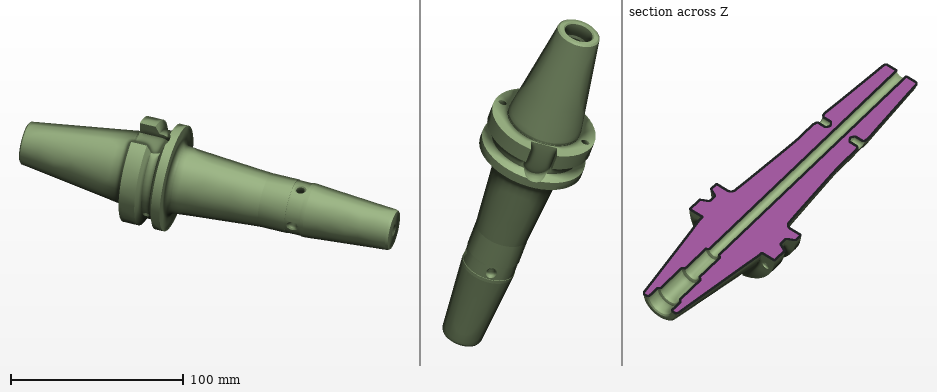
import cadquery as cq
import math

LENGTH = 225.5

GAUGE_X = 65.4
GAUGE_DIA = 44.5
TAPER_RATE = 7 / 24
TAPER_END_DIA = GAUGE_DIA - GAUGE_X * TAPER_RATE
TAPER_CHAMFER = 1.0
RELIEF_DIA = 44.2
RELIEF_START_X = 66.0
RELIEF_WIDTH = 0.7

FLANGE_DIA = 63.0
FLANGE_START_X = 67.5
FLANGE_END_X = 92.5
GROOVE_X = 82.0
GROOVE_DIA = 53.0
GROOVE_FLOOR_WIDTH = 5.0
GROOVE_MOUTH_WIDTH = 10.1

SLOT_WIDTH = 16.0
SLOT_FLOOR_HEIGHT = 22.5
SLOT_END_X = 88.4

COOLANT_DIA = 4.3
COOLANT_ANGLE = 20.0
COOLANT_FACE_RADIUS = 26.8
COOLANT_TILT = 30.0

BODY_DIA = 32.0
BODY_TAPER_ANGLE = 4.5
BODY_START_X = 147.5
BAND_START_X = 163.6
BAND_END_X = 172.9
BAND_DIA = 31.3
NOSE_START_X = 175.0
NOSE_CHAMFER = 1.4
NOSE_CHAMFER_DEPTH = 0.7
ROOT_FILLET = 3.4

SCREW_HOLE_COUNT = 4
SCREW_HOLE_DIA = 5.0
SCREW_SINK_DIA = 7.0
SCREW_HOLE_DEPTH = 6.8
DRILL_POINT_ANGLE = 59.0

PILOT_DIA = 17.0
PILOT_MOUTH_DIA = 18.5
PILOT_DEPTH = 8.8
THREAD_DIA = 14.0
THREAD_DEPTH = 29.3
STEP_DIA = 10.4
STEP_DEPTH = 49.5
BORE_DIA = 7.0


def slope(angle):
    return math.tan(math.radians(angle))


def turned_body():
    gauge_radius = GAUGE_DIA / 2
    relief_end_x = RELIEF_START_X + RELIEF_WIDTH
    relief_radius = RELIEF_DIA / 2
    flange_radius = FLANGE_DIA / 2
    groove_radius = GROOVE_DIA / 2
    floor_half = GROOVE_FLOOR_WIDTH / 2
    mouth_half = GROOVE_MOUTH_WIDTH / 2
    body_radius = BODY_DIA / 2
    band_radius = BAND_DIA / 2
    taper = slope(BODY_TAPER_ANGLE)
    fillet_end_x = FLANGE_END_X + ROOT_FILLET
    root_radius = body_radius + (BODY_START_X - fillet_end_x) * taper
    nose_radius = body_radius - (LENGTH - NOSE_START_X) * taper
    chamfer_x = LENGTH - NOSE_CHAMFER
    chamfer_radius = nose_radius + NOSE_CHAMFER * taper
    arc_drop = ROOT_FILLET * (1 - math.sqrt(0.5))

    outline = (
        cq.Workplane("XZ")
        .moveTo(0, 0)
        .lineTo(0, TAPER_END_DIA / 2 - TAPER_CHAMFER)
        .lineTo(TAPER_CHAMFER, (TAPER_END_DIA + TAPER_CHAMFER * TAPER_RATE) / 2)
        .lineTo(GAUGE_X, gauge_radius)
        .lineTo(RELIEF_START_X, gauge_radius)
        .lineTo(RELIEF_START_X, relief_radius)
        .lineTo(relief_end_x, relief_radius)
        .lineTo(relief_end_x, gauge_radius)
        .lineTo(FLANGE_START_X, gauge_radius)
        .lineTo(FLANGE_START_X, flange_radius)
        .lineTo(GROOVE_X - mouth_half, flange_radius)
        .lineTo(GROOVE_X - floor_half, groove_radius)
        .lineTo(GROOVE_X + floor_half, groove_radius)
        .lineTo(GROOVE_X + mouth_half, flange_radius)
        .lineTo(FLANGE_END_X, flange_radius)
        .lineTo(FLANGE_END_X, root_radius + ROOT_FILLET)
        .threePointArc((FLANGE_END_X + arc_drop, root_radius + arc_drop), (fillet_end_x, root_radius))
        .lineTo(BODY_START_X, body_radius)
        .lineTo(BAND_START_X, body_radius)
        .lineTo(BAND_START_X, band_radius)
        .lineTo(BAND_END_X, band_radius)
        .lineTo(BAND_END_X, body_radius)
        .lineTo(NOSE_START_X, body_radius)
        .lineTo(chamfer_x, chamfer_radius)
        .lineTo(LENGTH, chamfer_radius - NOSE_CHAMFER_DEPTH)
        .lineTo(LENGTH, 0)
        .close()
    )
    return outline.revolve(360, (0, 0, 0), (1, 0, 0))


def stepped_bore():
    """Bore along X: chamfered mouth, then three steps joined by cones."""
    point = slope(DRILL_POINT_ANGLE)
    mouth_chamfer = (PILOT_MOUTH_DIA - PILOT_DIA) / 2
    outline = (
        cq.Workplane("XZ")
        .moveTo(0, 0)
        .lineTo(0, PILOT_MOUTH_DIA / 2)
        .lineTo(mouth_chamfer, PILOT_DIA / 2)
        .lineTo(PILOT_DEPTH, PILOT_DIA / 2)
        .lineTo(PILOT_DEPTH + (PILOT_DIA - THREAD_DIA) / 2 / point, THREAD_DIA / 2)
        .lineTo(THREAD_DEPTH, THREAD_DIA / 2)
        .lineTo(THREAD_DEPTH + (THREAD_DIA - STEP_DIA) / 2 / point, STEP_DIA / 2)
        .lineTo(STEP_DEPTH, STEP_DIA / 2)
        .lineTo(STEP_DEPTH + (STEP_DIA - BORE_DIA) / 2 / point, BORE_DIA / 2)
        .lineTo(LENGTH, BORE_DIA / 2)
        .lineTo(LENGTH, 0)
        .close()
    )
    return outline.revolve(360, (0, 0, 0), (1, 0, 0))


def drive_slot():
    """Round-ended slot open to the taper side of the flange, above the axis."""
    end_radius = SLOT_WIDTH / 2
    outline = (
        cq.Workplane("XY", origin=(0, 0, SLOT_FLOOR_HEIGHT))
        .moveTo(FLANGE_START_X, -end_radius)
        .lineTo(SLOT_END_X - end_radius, -end_radius)
        .threePointArc((SLOT_END_X, 0), (SLOT_END_X - end_radius, end_radius))
        .lineTo(FLANGE_START_X, end_radius)
        .close()
    )
    return outline.extrude(FLANGE_DIA / 2)


def coolant_passage():
    """Slanted hole from the flange face, meeting a radial hole from the groove floor."""
    tilt = math.radians(COOLANT_TILT)
    axial_run = GROOVE_X - FLANGE_START_X
    meeting_radius = COOLANT_FACE_RADIUS - axial_run * math.tan(tilt)
    direction = cq.Vector(math.cos(tilt), math.sin(tilt), 0)
    entry = cq.Vector(FLANGE_START_X, -COOLANT_FACE_RADIUS, 0)
    slanted = cq.Solid.makeCylinder(
        COOLANT_DIA / 2,
        axial_run / math.cos(tilt) + COOLANT_DIA,
        entry - direction * COOLANT_DIA,
        direction,
    )
    radial = cq.Solid.makeCylinder(
        COOLANT_DIA / 2,
        FLANGE_DIA / 2 - meeting_radius,
        cq.Vector(GROOVE_X, -FLANGE_DIA / 2, 0),
        cq.Vector(0, 1, 0),
    )
    passage = cq.Workplane(slanted).union(cq.Workplane(radial))
    return passage.rotate((0, 0, 0), (1, 0, 0), COOLANT_ANGLE)


def screw_hole():
    """Countersunk blind hole with a drill point, going down from the top of the band."""
    top = BAND_DIA / 2
    sink_depth = (SCREW_SINK_DIA - SCREW_HOLE_DIA) / 2
    bottom = top - SCREW_HOLE_DEPTH
    tip = bottom - SCREW_HOLE_DIA / 2 / slope(DRILL_POINT_ANGLE)
    outline = (
        cq.Workplane("XZ")
        .moveTo(0, BODY_DIA / 2)
        .lineTo(SCREW_SINK_DIA / 2, BODY_DIA / 2)
        .lineTo(SCREW_SINK_DIA / 2, top)
        .lineTo(SCREW_HOLE_DIA / 2, top - sink_depth)
        .lineTo(SCREW_HOLE_DIA / 2, bottom)
        .lineTo(0, tip)
        .close()
    )
    hole = outline.revolve(360, (0, 0, 0), (0, 1, 0))
    return hole.translate(((BAND_START_X + BAND_END_X) / 2, 0, 0))


def around_axis(shape, angle):
    return shape.rotate((0, 0, 0), (1, 0, 0), angle)


result = turned_body().cut(stepped_bore())
for half_turn in (0, 180):
    result = result.cut(around_axis(drive_slot(), half_turn))
    result = result.cut(around_axis(coolant_passage(), half_turn))
for index in range(SCREW_HOLE_COUNT):
    result = result.cut(around_axis(screw_hole(), index * 360 / SCREW_HOLE_COUNT))